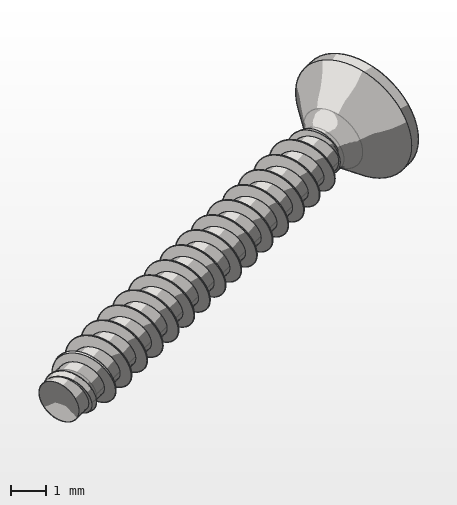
import cadquery as cq
import math

LENGTH = 15.0

HEAD_RADIUS = 2.0
RIM_DEPTH = 0.34
CONE_END_RADIUS = 1.015
CONE_END_DEPTH = 1.357

SHANK_RADIUS = 0.745
NECK_END_DEPTH = 1.9
SHANK_END_DEPTH = 2.08

CORE_RADIUS = 0.69
END_HOLLOW_DEPTH = 0.06

CREST_RADIUS = 1.0
PITCH = 0.78
CREST_WIDTH = 0.04
FLANK_WIDTH = 0.10
FOOT_WIDTH = 0.16
FOOT_HEIGHT = 0.045
ROOT_OVERLAP = 0.03
CREST_DEPTH = 3.87

RUNOUT_SLOPE = 0.27
TOP_START_RADIUS = 0.82
TIP_PLAIN_LENGTH = 0.08
ENVELOPE_CLEARANCE = 0.1


def make_blank():
    """Head, neck, shank and core as one turned body."""
    neck_drop = CONE_END_RADIUS - SHANK_RADIUS
    neck_length = NECK_END_DEPTH - CONE_END_DEPTH
    neck_radius = (neck_length**2 + neck_drop**2) / (2 * neck_drop)
    return (
        cq.Workplane("XZ")
        .lineTo(HEAD_RADIUS, 0)
        .lineTo(HEAD_RADIUS, -RIM_DEPTH)
        .lineTo(CONE_END_RADIUS, -CONE_END_DEPTH)
        .radiusArc((SHANK_RADIUS, -NECK_END_DEPTH), -neck_radius)
        .lineTo(SHANK_RADIUS, -SHANK_END_DEPTH)
        .lineTo(CORE_RADIUS, -SHANK_END_DEPTH)
        .lineTo(CORE_RADIUS, -LENGTH)
        .lineTo(0, END_HOLLOW_DEPTH - LENGTH)
        .close()
        .revolve(360, (0, 0, 0), (0, 1, 0))
    )


def make_thread():
    """Right-hand helical ridge, longer than needed at both ends."""
    turns_below = math.ceil((LENGTH - CREST_DEPTH) / PITCH)
    turns_above = math.ceil((CREST_DEPTH - SHANK_END_DEPTH) / PITCH)
    start = -CREST_DEPTH - turns_below * PITCH
    half_crest = CREST_WIDTH / 2
    inner_radius = CORE_RADIUS - ROOT_OVERLAP
    flank_slope = FLANK_WIDTH / (CREST_RADIUS - CORE_RADIUS)
    foot_slope = FOOT_WIDTH / FOOT_HEIGHT
    foot_top = half_crest + flank_slope * (CREST_RADIUS - CORE_RADIUS - FOOT_HEIGHT)
    lower_root = half_crest + flank_slope * (CREST_RADIUS - inner_radius)
    upper_root = foot_top + foot_slope * (FOOT_HEIGHT + ROOT_OVERLAP)
    profile = (
        cq.Workplane("XZ", origin=(0, 0, start))
        .moveTo(inner_radius, -lower_root)
        .lineTo(CREST_RADIUS, -half_crest)
        .lineTo(CREST_RADIUS, half_crest)
        .lineTo(CORE_RADIUS + FOOT_HEIGHT, foot_top)
        .lineTo(inner_radius, upper_root)
        .close()
    )
    thread_length = (turns_below + turns_above) * PITCH
    helix = cq.Wire.makeHelix(PITCH, thread_length, CORE_RADIUS, cq.Vector(0, 0, start))
    thread = profile.sweep(cq.Workplane(obj=helix), isFrenet=True)
    return thread.rotate((0, 0, 0), (0, 0, 1), 180)


def make_thread_envelope():
    """Turned volume that fades the thread out at both ends."""
    outer_radius = CREST_RADIUS + ENVELOPE_CLEARANCE
    inner_radius = CORE_RADIUS - ROOT_OVERLAP
    top = -SHANK_END_DEPTH
    bottom = TIP_PLAIN_LENGTH - LENGTH
    top_runout = (outer_radius - TOP_START_RADIUS) / RUNOUT_SLOPE
    tip_runout = (outer_radius - inner_radius) / RUNOUT_SLOPE
    return (
        cq.Workplane("XZ")
        .moveTo(0, top)
        .lineTo(TOP_START_RADIUS, top)
        .lineTo(outer_radius, top - top_runout)
        .lineTo(outer_radius, bottom + tip_runout)
        .lineTo(inner_radius, bottom)
        .lineTo(0, bottom)
        .close()
        .revolve(360, (0, 0, 0), (0, 1, 0))
    )


thread = make_thread().intersect(make_thread_envelope())
screw = make_blank().union(thread)

result = screw.rotate((0, 0, 0), (1, 0, 0), -90)